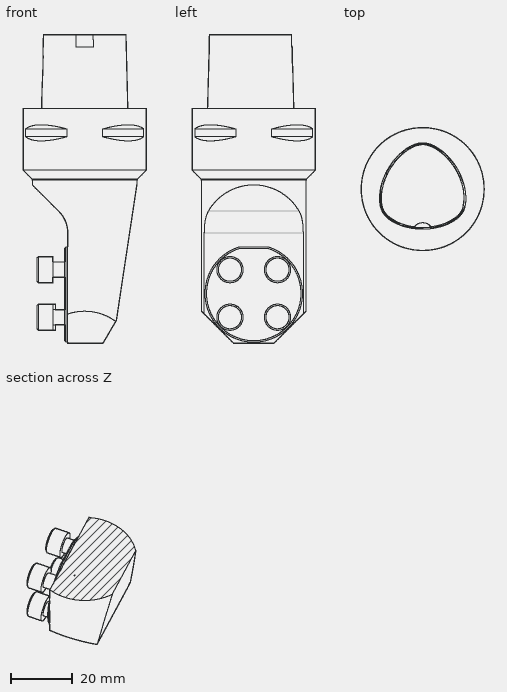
import cadquery as cq
import math

total_height = 100.3
shank_height = 24.0
flange_bottom_z = 56.3
shoulder_z = total_height - shank_height

shank_base_radius = 14.0
shank_taper_per_side = 0.025
shank_top_radius = shank_base_radius - shank_taper_per_side * shank_height
lobe_height = 1.0
lobe_count = 3
points_per_outline = 36

keyway_radius = 3.5
keyway_center_y = -14.4
keyway_depth = 4.0

flange_radius = 40.0 / 2
body_radius = 34.0 / 2
flange_chamfer = 2.8
collar_height = 0.4
groove_floor_distance = 17.7
groove_floor_height = 2.5
groove_center_z = 68.4
groove_wall_angle = 30.0
groove_count = 4

face_x = -5.5
slope_corner_z = 40.0
slope_fillet = 10.0
back_top_z = 51.7
back_knee_x = 10.3
back_knee_z = 7.5
back_foot_x = 5.9
foot_half_width = 6.5

plate_radius = 15.8
plate_center_z = 16.2
plate_thickness = 1.0
plate_flat_z = 31.4
plate_chamfer = 0.5
plate_front_x = face_x - plate_thickness

screw_offset = 7.7
screw_radius = 5 / 2
head_radius = 8.5 / 2
head_chamfer = 0.5
head_front_x = -15.5
head_length = 5.2
sunk_screw_depth = 0.9


def lobed_outline(mean_radius):
    """Points of a constant-width three-lobed curve with one lobe toward +Y."""
    points = []
    for i in range(points_per_outline):
        angle = 2 * math.pi * i / points_per_outline
        phase = lobe_count * (angle - math.pi / 2)
        support = mean_radius + lobe_height * math.cos(phase)
        slope = -lobe_count * lobe_height * math.sin(phase)
        x = support * math.cos(angle) - slope * math.sin(angle)
        y = support * math.sin(angle) + slope * math.cos(angle)
        points.append((x, y))
    return points


def make_shank():
    shank = (
        cq.Workplane("XY", origin=(0, 0, shoulder_z))
        .spline(lobed_outline(shank_base_radius), periodic=True).close()
        .workplane(offset=shank_height)
        .spline(lobed_outline(shank_top_radius), periodic=True).close()
        .loft(ruled=True)
    )
    keyway = (
        cq.Workplane("XY", origin=(0, keyway_center_y, total_height - keyway_depth))
        .circle(keyway_radius).extrude(keyway_depth)
    )
    return shank.cut(keyway)


def make_groove():
    """Straight groove on the +X side, widening outward from a flat floor."""
    depth = flange_radius - groove_floor_distance
    half_floor = groove_floor_height / 2
    half_mouth = half_floor + depth * math.tan(math.radians(groove_wall_angle))
    return (
        cq.Workplane("XZ", origin=(0, 0, groove_center_z))
        .moveTo(groove_floor_distance, -half_floor)
        .lineTo(flange_radius, -half_mouth)
        .lineTo(flange_radius, half_mouth)
        .lineTo(groove_floor_distance, half_floor)
        .close()
        .extrude(flange_radius, both=True)
    )


def make_flange():
    flange = (
        cq.Workplane("XY", origin=(0, 0, flange_bottom_z - flange_chamfer))
        .circle(flange_radius).extrude(shoulder_z - flange_bottom_z + flange_chamfer)
        .faces("<Z").chamfer(flange_chamfer)
    )
    collar = (
        cq.Workplane("XY", origin=(0, 0, flange_bottom_z - flange_chamfer - collar_height))
        .circle(flange_radius - flange_chamfer).extrude(collar_height)
    )
    flange = flange.union(collar)
    spacing = 360 / groove_count
    for i in range(groove_count):
        angle = spacing * (i + 0.5)
        flange = flange.cut(make_groove().rotate((0, 0, 0), (0, 0, 1), angle))
    return flange


def make_body():
    """Cylinder trimmed by an XZ side outline and a YZ outline with a 45 degree foot."""
    cylinder = cq.Workplane("XY").circle(body_radius).extrude(flange_bottom_z)
    slope_top_z = slope_corner_z + body_radius + face_x
    side = (
        cq.Workplane("XZ")
        .moveTo(face_x, 0)
        .lineTo(face_x, slope_corner_z)
        .lineTo(-body_radius, slope_top_z)
        .lineTo(-body_radius, flange_bottom_z)
        .lineTo(body_radius, flange_bottom_z)
        .lineTo(body_radius, back_top_z)
        .lineTo(back_knee_x, back_knee_z)
        .lineTo(back_foot_x, 0)
        .close()
        .extrude(body_radius, both=True)
    )
    inner_corner = cq.selectors.NearestToPointSelector((face_x, 0, slope_corner_z))
    side = side.edges(inner_corner).fillet(slope_fillet)
    foot_chamfer = body_radius - foot_half_width
    foot = (
        cq.Workplane("YZ")
        .moveTo(-foot_half_width, 0)
        .lineTo(foot_half_width, 0)
        .lineTo(body_radius, foot_chamfer)
        .lineTo(body_radius, flange_bottom_z)
        .lineTo(-body_radius, flange_bottom_z)
        .lineTo(-body_radius, foot_chamfer)
        .close()
        .extrude(body_radius, both=True)
    )
    return cylinder.intersect(side).intersect(foot)


def make_plate():
    flat_height = plate_flat_z - plate_center_z
    flat_half_width = math.sqrt(plate_radius**2 - flat_height**2)
    return (
        cq.Workplane("YZ", origin=(face_x, 0, plate_center_z))
        .moveTo(-flat_half_width, flat_height)
        .lineTo(flat_half_width, flat_height)
        .threePointArc((0, -plate_radius), (-flat_half_width, flat_height))
        .close()
        .extrude(-plate_thickness)
        .faces("<X").chamfer(plate_chamfer)
    )


def make_screw(y, z, front_x):
    head_back_x = front_x + head_length
    head = (
        cq.Workplane("YZ", origin=(front_x, y, z))
        .circle(head_radius).extrude(head_length)
        .faces("<X").chamfer(head_chamfer)
    )
    stem = (
        cq.Workplane("YZ", origin=(head_back_x, y, z))
        .circle(screw_radius).extrude(plate_front_x - head_back_x)
    )
    return head.union(stem)


result = make_shank().union(make_flange()).union(make_body()).union(make_plate())
for y_side in (-1, 1):
    for z_side in (-1, 1):
        is_sunk = y_side > 0 and z_side < 0
        front_x = head_front_x + (sunk_screw_depth if is_sunk else 0)
        screw = make_screw(y_side * screw_offset, plate_center_z + z_side * screw_offset, front_x)
        result = result.union(screw)